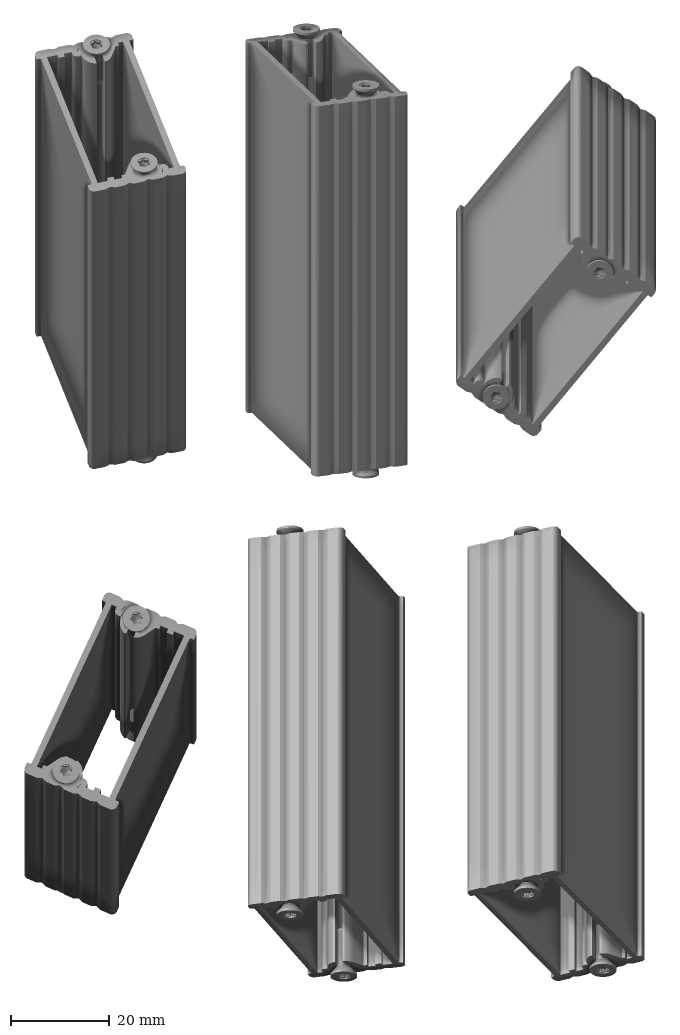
import cadquery as cq
import math

width = 41.6
length = 80.0
upper_height = 8.15
lower_height = 12.3
joint_y = (lower_height - upper_height) / 2

wall = 2.2
wall_corner = 1.1
plate = 1.3
plate_recess = 0.9
step_root = 0.3

groove_pitch = 4.0
groove_half_width = 1.0
groove_depth = 0.4
groove_round = 0.2

screw_x = 17.5
outer_u = screw_x - width / 2
inner_u = outer_u + wall
hook_radius = 3.2
hook_offset = 0.3
hook_tip_u = 3.3
throat = 1.7
seat_radius = 1.9
shelf_u = -0.1
shelf_v = -math.sqrt(hook_radius**2 - (shelf_u - hook_offset) ** 2)
shelf_gap = 0.13
ledge = 0.8
ledge_top = 4.9
ledge_bottom = 4.1
slope_end_angle = 60
bump_u = 0.4
bump_bottom = 4.9
bump_corner = 1.0
tooth_angle = 248.5
tooth_width = 1.1
tooth_tip = 3.7
tooth_gap = 0.13

rail_top = 6.55
rail_height = 1.35
rail_depth = 0.8

shank_diameter = 3.2
head_diameter = 5.5
head_rim = 0.5
head_cone = 1.3
head_height = 2.0
shank_length = 8.0
recess_diameter = 2.7
mouth_depth = 0.25
lobe_reach = 1.3
lobes = 6
lobe_radius = 0.25
recess_depth = 1.0
recess_point = 0.5


def prism():
    """Sketch plane at the lower end of the shells."""
    return cq.Workplane("XY", origin=(0, 0, -length / 2))


def block(x_min, x_max, y_min, y_max):
    """Full-length block with the given rectangular section."""
    size_x = x_max - x_min
    size_y = y_max - y_min
    return prism().center(x_min + size_x / 2, y_min + size_y / 2).rect(size_x, size_y).extrude(length)


def half_turn(body):
    return body.rotate((0, 0, 0), (0, 0, 1), 180)


def tooth(tip):
    """Radial rib reaching from the screw bore to the given distance from the screw axis."""
    bar = block(shank_diameter / 2, tip, -tooth_width / 2, tooth_width / 2)
    return bar.rotate((0, 0, 0), (0, 0, 1), tooth_angle)


def hook():
    """C-shaped screw boss with its ledge and tooth, around the screw axis at the origin."""
    angle = math.radians(slope_end_angle)
    slope_end = (hook_offset + hook_radius * math.cos(angle), hook_radius * math.sin(angle))
    seat_v = -math.sqrt(seat_radius**2 - shelf_u**2)
    seat_middle = seat_radius * math.sqrt(0.5)
    body = (
        prism()
        .moveTo(outer_u + groove_depth, 0)
        .lineTo(inner_u, ledge_top)
        .lineTo(inner_u + ledge, ledge_top)
        .lineTo(inner_u + ledge, ledge_bottom)
        .lineTo(*slope_end)
        .threePointArc((hook_offset + hook_radius, 0), (shelf_u, shelf_v))
        .lineTo(shelf_u, seat_v)
        .threePointArc((-seat_middle, -seat_middle), (-seat_radius, 0))
        .close()
        .extrude(length)
    )
    opening = block(0, hook_offset + hook_radius, -throat / 2, throat / 2)
    tips = block(hook_tip_u, hook_offset + hook_radius, -hook_radius, hook_radius)
    return body.union(tooth(tooth_tip)).cut(opening).cut(tips)


def seat():
    """Space left in the opposite shell for the hook and its tooth."""
    arc = prism().circle(seat_radius).extrude(length)
    step = block(shelf_u, bump_u, shelf_v - shelf_gap, 0)
    return arc.union(step).union(tooth(tooth_tip + tooth_gap))


def cradle():
    """Thickened wall below the left joint line that carries the seat."""
    body = block(outer_u + groove_depth, bump_u, -bump_bottom, 0)
    return body.edges("|Z and >X and <Y").fillet(bump_corner)


def grooves(height):
    """V-grooves in both outer side faces, at whole pitches from the joint line."""
    cutters = cq.Workplane()
    for index in range(int(height / groove_pitch)):
        y = index * groove_pitch
        for side in (-1, 1):
            face_x = side * width / 2
            cutters = cutters.add(
                prism()
                .polyline([
                    (face_x, y - groove_half_width),
                    (face_x - side * groove_depth, y),
                    (face_x, y + groove_half_width),
                ])
                .close()
                .extrude(length)
            )
    return cutters.combine()


def round_edges(body, radius, x_min, x_max, y_min, y_max):
    """Round the full-length edges inside a rectangle of the section and its mirror image in X."""
    for low, high in ((x_min, x_max), (-x_max, -x_min)):
        region = cq.selectors.BoxSelector((low, y_min, -length), (high, y_max, length))
        body = body.edges("|Z").edges(region).fillet(radius)
    return body


def shell(height):
    """U-shaped shell opening toward -Y, with the joint line at Y = 0."""
    half = width / 2
    channel = block(-half, half, 0, height).edges("|Z and >Y").fillet(wall_corner)
    plate_top = height - plate_recess
    channel = channel.cut(block(wall - half, half - wall, 0, plate_top - plate))
    channel = channel.cut(block(wall - half, half - wall, plate_top, height))
    body = channel.union(hook().translate((-screw_x, 0, 0)))
    body = body.union(half_turn(cradle().translate((-screw_x, 0, 0))))
    body = body.cut(half_turn(seat().translate((-screw_x, 0, 0))))
    bore = prism().center(-screw_x, 0).circle(shank_diameter / 2).extrude(length)
    body = body.cut(bore).cut(grooves(height))
    inner_x = half - wall
    margin = 0.1
    body = round_edges(
        body, step_root, inner_x - margin, inner_x + margin, plate_top - margin, plate_top + margin
    )
    return round_edges(
        body, groove_round, half - groove_depth - margin, half + margin, margin, height - wall_corner - margin
    )


def board_rails():
    """Pair of rails on the inner wall faces of the lower shell."""
    inner_x = width / 2 - wall
    left = block(-inner_x, rail_depth - inner_x, -rail_top - rail_height, -rail_top)
    return left.union(left.mirror("YZ"))


def recess():
    """Hexalobular drive recess with a conical floor, opening at Z = 0."""
    mouth = cq.Workplane("XY").circle(recess_diameter / 2).extrude(-mouth_depth)
    core = lobe_reach - lobe_radius
    tool = cq.Workplane("XY").circle(core).extrude(-recess_depth)
    lobe = cq.Workplane("XY").polarArray(core, 0, 360, lobes).circle(lobe_radius).extrude(-recess_depth)
    floor = (
        cq.Workplane("XZ", origin=(0, 0, -recess_depth))
        .polyline([(0, 0), (core, 0), (0, -recess_point)])
        .close()
        .revolve(360, (0, 0), (0, 1))
    )
    return mouth.union(tool).union(lobe).union(floor)


def screw():
    """Countersunk screw pointing toward -Z, with the top of its head at Z = 0."""
    head = head_diameter / 2
    shank = shank_diameter / 2
    cone_end = head_rim + head_cone
    tip = head_height + shank_length
    body = (
        cq.Workplane("XZ")
        .polyline([
            (0, 0),
            (head, 0),
            (head, -head_rim),
            (shank, -cone_end),
            (shank, -tip),
            (0, -tip),
        ])
        .close()
        .revolve(360, (0, 0), (0, 1))
    )
    return body.cut(recess())


def screws():
    """One screw at each end of both joints."""
    upper = screw().translate((0, 0, length / 2 + head_height))
    lower = upper.rotate((0, 0, 0), (1, 0, 0), 180)
    placed = []
    for x in (-screw_x, screw_x):
        for body in (upper, lower):
            placed.append(body.translate((x, joint_y, 0)).val())
    return placed


upper_shell = shell(upper_height).translate((0, joint_y, 0))
lower_shell = half_turn(shell(lower_height)).union(board_rails()).translate((0, joint_y, 0))

result = cq.Compound.makeCompound([upper_shell.val(), lower_shell.val(), *screws()])